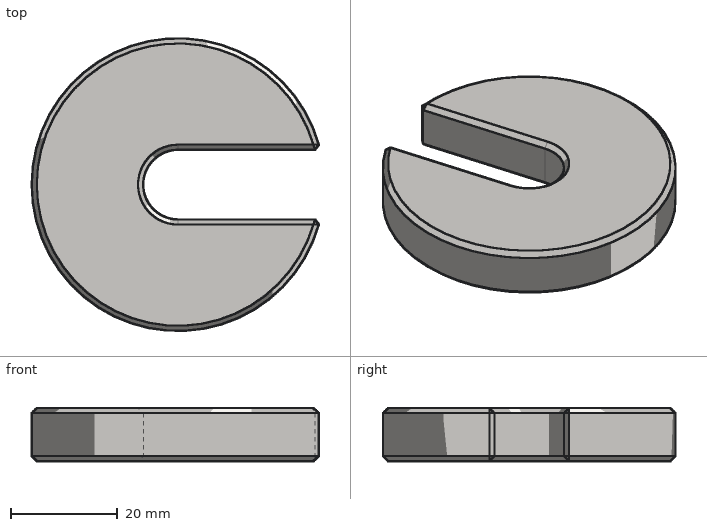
import cadquery as cq

disc_diameter = 54.85
thickness = 10.0
slot_width = 13.0
edge_chamfer = 1.0

disc_radius = disc_diameter / 2
slot_radius = slot_width / 2

disc = cq.Workplane("XY").circle(disc_radius).extrude(thickness)

slot_end = cq.Workplane("XY").circle(slot_radius).extrude(thickness)
slot_channel = (
    cq.Workplane("XY")
    .rect(disc_radius, slot_width)
    .extrude(thickness)
    .translate((disc_radius / 2, 0, 0))
)
slotted_disc = disc.cut(slot_end.union(slot_channel))

face_outlines = slotted_disc.faces("<Z or >Z").edges()
mouth_corners = slotted_disc.edges("|Z").edges(">X")
result = slotted_disc.newObject(face_outlines.vals() + mouth_corners.vals()).chamfer(edge_chamfer)